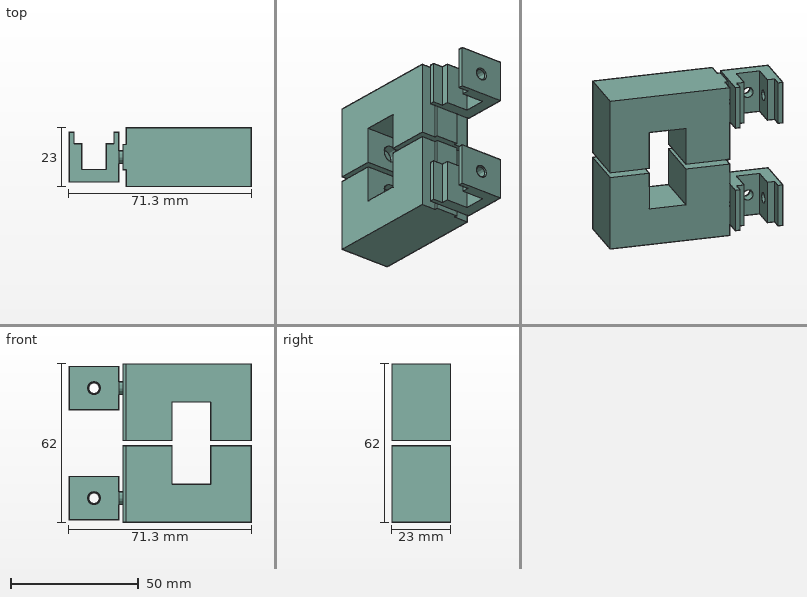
import cadquery as cq

BLOCK_LENGTH = 49.0
BLOCK_WIDTH = 23.0
BLOCK_HEIGHT = 30.0
BLOCK_GAP = 2.0
WINDOW_LENGTH = 15.0
WINDOW_DEPTH = 15.0
WINDOW_START = 18.0
RIB_THICKNESS = 1.3
RIB_WIDTH = 10.0
BORE_DIAMETER = 6.65
BORE_DEPTH = 4.0

CLIP_SIZE = 19.5
CLIP_HEIGHT = 17.0
CLIP_INSET = 1.0
CLIP_WALL = 5.0
CLIP_LIP = 2.0
LIP_DEPTH = 4.5
HOLE_DIAMETER = 4.13
HOLE_MOUTH_DIAMETER = 5.0
HOLE_CHAMFER = (HOLE_MOUTH_DIAMETER - HOLE_DIAMETER) / 2
PIN_DIAMETER = 5.0
PIN_LENGTH = 1.5

BLOCK_INNER_Z = BLOCK_GAP / 2
BLOCK_OUTER_Z = BLOCK_INNER_Z + BLOCK_HEIGHT
RIB_FACE_X = -RIB_THICKNESS
CLIP_RIGHT_X = RIB_FACE_X - PIN_LENGTH
CLIP_LEFT_X = CLIP_RIGHT_X - CLIP_SIZE
CLIP_CENTRE_X = CLIP_RIGHT_X - CLIP_SIZE / 2
CLIP_FRONT_Y = -CLIP_SIZE / 2
CLIP_BACK_Y = CLIP_SIZE / 2
AXIS_Z = BLOCK_OUTER_Z - CLIP_INSET - CLIP_HEIGHT / 2


def box(x_min, x_max, y_min, y_max, z_min, z_max):
    """Box given by its limits along the three axes."""
    size = (x_max - x_min, y_max - y_min, z_max - z_min)
    return cq.Workplane("XY").box(*size, centered=False).translate((x_min, y_min, z_min))


def cylinder(start, direction, diameter, length):
    """Round bar that runs from a start point along a direction."""
    solid = cq.Solid.makeCylinder(diameter / 2, length, cq.Vector(*start), cq.Vector(*direction))
    return cq.Workplane(solid)


def chamfered_hole(start, direction):
    """Cutter for a hole through one clip wall with a chamfered mouth."""
    mouth = cq.Solid.makeCone(
        HOLE_MOUTH_DIAMETER / 2, HOLE_DIAMETER / 2, HOLE_CHAMFER,
        cq.Vector(*start), cq.Vector(*direction),
    )
    return cylinder(start, direction, HOLE_DIAMETER, CLIP_WALL).union(cq.Workplane(mouth))


def make_block(side):
    """C-shaped block on the upper (side = 1) or lower (side = -1) half."""
    half_width = BLOCK_WIDTH / 2
    window_end = WINDOW_START + WINDOW_LENGTH
    block = box(0, BLOCK_LENGTH, -half_width, half_width, BLOCK_INNER_Z, BLOCK_OUTER_Z)
    rib = box(RIB_FACE_X, 0, -RIB_WIDTH / 2, RIB_WIDTH / 2, BLOCK_INNER_Z, BLOCK_OUTER_Z)
    window = box(
        WINDOW_START, window_end, -half_width, half_width,
        BLOCK_INNER_Z, BLOCK_INNER_Z + WINDOW_DEPTH,
    )
    bore_z = BLOCK_INNER_Z + WINDOW_DEPTH / 2
    bore = cylinder((window_end, 0, bore_z), (1, 0, 0), BORE_DIAMETER, BORE_DEPTH)
    block = block.union(rib).cut(window).cut(bore)
    return block if side > 0 else block.mirror("XY")


def make_clip(side):
    """U-shaped clip with its pin, level with the upper or lower block."""
    z_axis = side * AXIS_Z
    z_min = z_axis - CLIP_HEIGHT / 2
    z_max = z_axis + CLIP_HEIGHT / 2
    clip = box(CLIP_LEFT_X, CLIP_RIGHT_X, CLIP_FRONT_Y, CLIP_BACK_Y, z_min, z_max)
    channel = box(
        CLIP_LEFT_X + CLIP_WALL, CLIP_RIGHT_X - CLIP_WALL,
        CLIP_FRONT_Y + CLIP_WALL, CLIP_BACK_Y, z_min, z_max,
    )
    recess = box(
        CLIP_LEFT_X + CLIP_LIP, CLIP_RIGHT_X - CLIP_LIP,
        CLIP_BACK_Y - LIP_DEPTH, CLIP_BACK_Y, z_min, z_max,
    )
    side_hole = chamfered_hole((CLIP_LEFT_X, 0, z_axis), (1, 0, 0))
    front_hole = chamfered_hole((CLIP_CENTRE_X, CLIP_FRONT_Y, z_axis), (0, 1, 0))
    pin = cylinder((CLIP_RIGHT_X, 0, z_axis), (1, 0, 0), PIN_DIAMETER, PIN_LENGTH)
    return clip.cut(channel).cut(recess).cut(side_hole).cut(front_hole).union(pin)


SIDES = (1, -1)
blocks = [make_block(side) for side in SIDES]
clips = [make_clip(side) for side in SIDES]

result = cq.Compound.makeCompound([body.val() for body in blocks + clips])